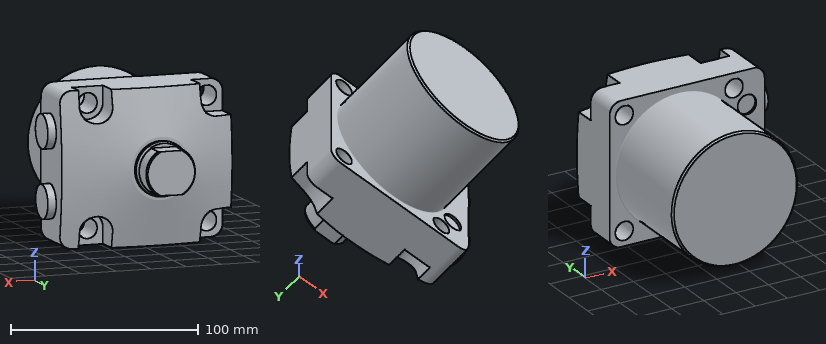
import cadquery as cq
import math


OVERALL_LENGTH = 116.0

BARREL_DIA = 78.0
BARREL_LENGTH = 59.0
BARREL_END_CHAMFER = 1.0
BARREL_ROOT_FILLET = 0.3

BLOCK_LEFT = 43.0
BLOCK_RIGHT = 53.0
BLOCK_HEIGHT = 86.0
BLOCK_CORNER_RADIUS = 7.0
CROWN_Y = 41.5
CROWN_FLAT_RADIUS = 17.2
CROWN_SLOPE_DEG = 15.0

BOLT_OFFSET = 34.0
BOLT_HOLE_DIA = 11.0
BOLT_LEDGE_Y = 20.0
BOLT_POCKET_RADIUS = 8.8

RECESS_DIA = 11.6
RECESS_DEPTH = 1.3
RECESS_X = 42.0
RECESS_OFFSET_Z = 22.5

ROD_DIA = 28.0
ROD_FLATS_WIDTH = 24.0
ROD_FLATS_LENGTH = 12.0
COLLAR_DIA = 30.2
COLLAR_HEIGHT = 2.0
ROD_CHAMFER_HEIGHT = 1.0
ROD_CHAMFER_DEG = 30.0

PLUG_DIA = 19.0
PLUG_LENGTH = 4.8
PLUG_Y = 13.8
PLUG_OFFSET_Z = 19.0


def block_along_y(x_min, x_max, z_min, z_max, y_min, y_max):
    """Box given by its limits on each axis."""
    size = (x_max - x_min, y_max - y_min, z_max - z_min)
    return cq.Workplane("XY").box(*size, centered=False).translate((x_min, y_min, z_min))


def cylinder_along_y(radius, x, z, y_min, y_max):
    """Cylinder parallel to the Y axis."""
    solid = cq.Solid.makeCylinder(radius, y_max - y_min, cq.Vector(x, y_min, z), cq.Vector(0, 1, 0))
    return cq.Workplane(solid)


def turned(half_profile):
    """Revolve a closed (radius, y) outline about the Y axis."""
    return cq.Workplane("XY").polyline(half_profile).close().revolve(360, (0, 0, 0), (0, 1, 0))


def crowned_block():
    """Rectangular block with rounded long edges, its far face cut to a shallow cone."""
    half_height = BLOCK_HEIGHT / 2
    block = block_along_y(-BLOCK_LEFT, BLOCK_RIGHT, -half_height, half_height, 0, CROWN_Y)
    block = block.edges("|Y").fillet(BLOCK_CORNER_RADIUS)
    envelope_radius = 2 * BLOCK_RIGHT
    crown_drop = (envelope_radius - CROWN_FLAT_RADIUS) * math.tan(math.radians(CROWN_SLOPE_DEG))
    envelope = turned([
        (0, CROWN_Y),
        (CROWN_FLAT_RADIUS, CROWN_Y),
        (envelope_radius, CROWN_Y - crown_drop),
        (envelope_radius, 0),
        (0, 0),
    ])
    return block.intersect(envelope)


def barrel():
    """Blind cylinder hanging from the mounting face, chamfered at its free end."""
    body = cylinder_along_y(BARREL_DIA / 2, 0, 0, -BARREL_LENGTH, 0)
    return body.faces("<Y").edges().chamfer(BARREL_END_CHAMFER)


def bolt_pocket(side_x, side_z):
    """Bolt-head clearance: an open U-slot on the +X side, opened to the corner on the -X side."""
    bolt_x = side_x * BOLT_OFFSET
    bolt_z = side_z * BOLT_OFFSET
    edge_z = side_z * BLOCK_HEIGHT / 2
    pocket = cylinder_along_y(BOLT_POCKET_RADIUS, bolt_x, bolt_z, BOLT_LEDGE_Y, CROWN_Y)
    slot_left = bolt_x - BOLT_POCKET_RADIUS
    slot_z = sorted((bolt_z, edge_z))
    slot_right = bolt_x + BOLT_POCKET_RADIUS
    pocket = pocket.union(block_along_y(slot_left, slot_right, *slot_z, BOLT_LEDGE_Y, CROWN_Y))
    if side_x < 0:
        corner_z = sorted((bolt_z - side_z * BOLT_POCKET_RADIUS, edge_z))
        corner = block_along_y(-BLOCK_LEFT, bolt_x, *corner_z, BOLT_LEDGE_Y, CROWN_Y)
        pocket = pocket.union(corner)
    return pocket


def make_housing():
    """Block and barrel in one piece, with bolt holes, bolt pockets and face recesses."""
    housing = crowned_block().union(barrel())
    root_edge = cq.selectors.RadiusNthSelector(-1)
    housing = housing.faces("<Y[1]").edges("%CIRCLE").edges(root_edge).fillet(BARREL_ROOT_FILLET)
    for side_z in (-1, 1):
        for side_x in (-1, 1):
            hole_x = side_x * BOLT_OFFSET
            hole_z = side_z * BOLT_OFFSET
            housing = housing.cut(cylinder_along_y(BOLT_HOLE_DIA / 2, hole_x, hole_z, 0, CROWN_Y))
            housing = housing.cut(bolt_pocket(side_x, side_z))
        recess_z = side_z * RECESS_OFFSET_Z
        housing = housing.cut(cylinder_along_y(RECESS_DIA / 2, RECESS_X, recess_z, 0, RECESS_DEPTH))
    return housing.solids().val()


def make_rod():
    """Rod end standing on the crown: tapered collar and chamfered stud with two flats."""
    tip_y = OVERALL_LENGTH - BARREL_LENGTH
    rod_radius = ROD_DIA / 2
    collar_radius = COLLAR_DIA / 2
    taper = math.tan(math.radians(ROD_CHAMFER_DEG))
    collar_y = CROWN_Y + COLLAR_HEIGHT
    shoulder_y = collar_y + (collar_radius - rod_radius) / taper
    rod = turned([
        (0, CROWN_Y),
        (collar_radius, CROWN_Y),
        (collar_radius, collar_y),
        (rod_radius, shoulder_y),
        (rod_radius, tip_y - ROD_CHAMFER_HEIGHT),
        (rod_radius - ROD_CHAMFER_HEIGHT * taper, tip_y),
        (0, tip_y),
    ])
    flats_y = tip_y - ROD_FLATS_LENGTH
    for side_z in (-1, 1):
        flat_z = sorted((side_z * ROD_FLATS_WIDTH / 2, side_z * collar_radius))
        rod = rod.cut(block_along_y(-collar_radius, collar_radius, *flat_z, flats_y, tip_y))
    return rod.solids().val()


def make_plug(side_z):
    """Round port plug seated on the +X side of the block."""
    seat = cq.Vector(BLOCK_RIGHT, PLUG_Y, side_z * PLUG_OFFSET_Z)
    return cq.Solid.makeCylinder(PLUG_DIA / 2, PLUG_LENGTH, seat, cq.Vector(1, 0, 0))


housing = make_housing()
rod = make_rod()
plugs = [make_plug(side_z) for side_z in (-1, 1)]

result = cq.Compound.makeCompound([housing, rod, *plugs])